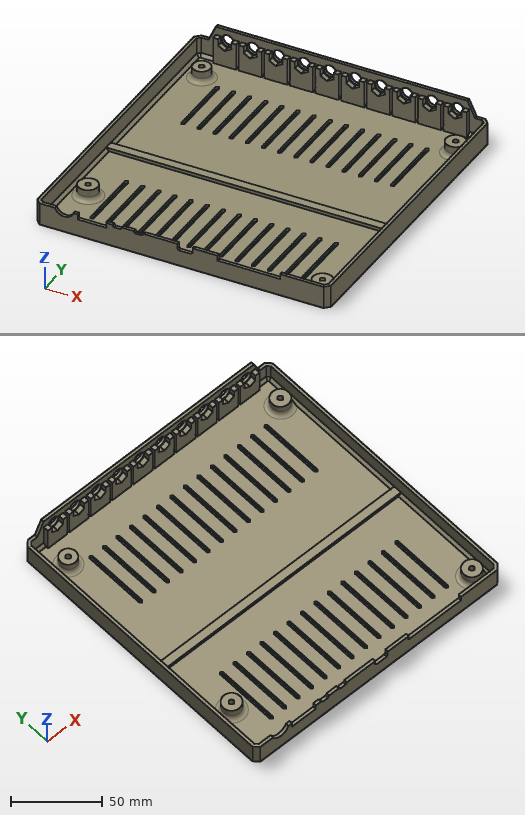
import cadquery as cq
import math

width = 182.0
depth = 188.5
wall_height = 14.0
wall = 2.0
corner_chamfer = 3.0
floor = 2.0
floor_chamfer = 1.9
inner_width = width - 2 * wall
inner_depth = depth - 2 * wall
inner_corner_chamfer = corner_chamfer - wall * (2 - math.sqrt(2))

panel_top = 24.0
panel_top_width = 156.0
panel_base_width = 165.5

block_count = 10
hole_row_length = 142.9
block_pitch = hole_row_length / (block_count - 1)
block_gap = 1.5
block_width = block_pitch - block_gap
block_top = 18.7
block_depth = 3.4
row_center_x = 0.66
hole_below_block_top = 1.8
hole_z = block_top - hole_below_block_top
hole_diameter = 7.2
nut_across_flats = 8.1

slot_count = 14
slot_row_length = 130
slot_pitch = slot_row_length / (slot_count - 1)
slot_width = 2.0
slot_length = 42.0
slot_row_x = 0.5
slot_row_ys = (48.5, -57.3)

rib_y = -12.5
rib_width = 5.5
rib_height = 2.0

posts = (
    (-77.0, 73.5, 11.0),
    (80.7, 73.5, 12.0),
    (-77.0, -58.8, 12.0),
    (80.7, -81.6, 12.0),
)
post_top = 9.2
post_fillet = 3.0
screw_hole_diameter = 3.2

round_notch_x = -72.8
round_notch_z = 16.0
round_notch_diameter = 12.0
notches = (
    (-64.5, -46.7, 10.7, 0),
    (-42.8, -37.0, 12.6, 1.0),
    (-29.6, -23.8, 12.6, 1.0),
    (-2.6, 6.8, 10.0, 1.0),
    (22.2, 61.0, 10.7, 0),
)

front_y = -depth / 2
back_y = depth / 2
panel_inner_y = back_y - wall
block_front_y = panel_inner_y - block_depth


def centered_offsets(count, pitch):
    """Positions of an evenly spaced row centred on zero."""
    return [(i - (count - 1) / 2) * pitch for i in range(count)]


def facing_front(y):
    """Workplane at the given Y whose local axes are X and Z and whose normal is -Y."""
    return cq.Workplane("XZ", origin=(0, y, 0))


def make_tray():
    outer = (
        cq.Workplane("XY")
        .rect(width, depth)
        .extrude(wall_height)
        .edges("|Z")
        .chamfer(corner_chamfer)
    )
    cavity = (
        cq.Workplane("XY", origin=(0, 0, floor))
        .rect(inner_width, inner_depth)
        .extrude(wall_height - floor)
        .edges("|Z")
        .chamfer(inner_corner_chamfer)
        .faces("<Z")
        .chamfer(floor_chamfer)
    )
    return outer.cut(cavity)


def make_panel():
    outline = [
        (-panel_base_width / 2, wall_height),
        (panel_base_width / 2, wall_height),
        (panel_top_width / 2, panel_top),
        (-panel_top_width / 2, panel_top),
    ]
    return facing_front(back_y).polyline(outline).close().extrude(wall)


def make_block(x):
    return cq.Workplane("XY").box(
        block_width, block_depth, block_top, centered=(True, False, False)
    ).translate((x, block_front_y, 0))


def make_nut_pocket(x):
    """Hexagon with a corner pointing down, through the depth of one block."""
    nut_across_corners = nut_across_flats / math.cos(math.pi / 6)
    return (
        facing_front(panel_inner_y)
        .polygon(6, nut_across_corners)
        .extrude(block_depth)
        .rotate((0, 0, 0), (0, 1, 0), 30)
        .translate((x, 0, hole_z))
    )


def make_panel_hole(x):
    return facing_front(back_y).center(x, hole_z).circle(hole_diameter / 2).extrude(wall)


def make_post(x, y, diameter):
    """Round post whose foot flares into the floor with a concave fillet, kept inside the tray."""
    radius = diameter / 2
    foot_radius = radius + post_fillet
    arc_reach = post_fillet * (1 - math.sqrt(0.5))
    profile = (
        cq.Workplane("XZ")
        .lineTo(foot_radius, 0)
        .lineTo(foot_radius, floor)
        .threePointArc((radius + arc_reach, floor + arc_reach), (radius, floor + post_fillet))
        .lineTo(radius, post_top)
        .lineTo(0, post_top)
        .close()
    )
    post = profile.revolve(360, (0, 0, 0), (0, 1, 0)).translate((x, y, 0))
    inside = cq.Workplane("XY").rect(width - wall, depth - wall).extrude(wall_height)
    return post.intersect(inside)


def make_notch(left, right, bottom, bottom_chamfer):
    notch = cq.Workplane("XY").box(
        right - left, wall, wall_height - bottom, centered=False
    ).translate((left, front_y, bottom))
    if bottom_chamfer:
        notch = notch.faces("<Z").edges("|Y").chamfer(bottom_chamfer)
    return notch


def make_slots():
    centers = [
        (slot_row_x + offset, y)
        for y in slot_row_ys
        for offset in centered_offsets(slot_count, slot_pitch)
    ]
    return cq.Workplane("XY").pushPoints(centers).slot2D(slot_length, slot_width, 90).extrude(floor)


result = make_tray().union(make_panel())

rib = cq.Workplane("XY").box(inner_width, rib_width, floor + rib_height, centered=(True, True, False))
result = result.union(rib.translate((0, rib_y, 0)))

for x, y, diameter in posts:
    result = result.union(make_post(x, y, diameter))
screw_points = [(x, y) for x, y, diameter in posts]
screw_holes = cq.Workplane("XY").pushPoints(screw_points).circle(screw_hole_diameter / 2).extrude(post_top)
result = result.cut(screw_holes)

for offset in centered_offsets(block_count, block_pitch):
    x = row_center_x + offset
    result = result.union(make_block(x))
    result = result.cut(make_nut_pocket(x)).cut(make_panel_hole(x))

for notch in notches:
    result = result.cut(make_notch(*notch))
round_notch = (
    facing_front(front_y + wall)
    .center(round_notch_x, round_notch_z)
    .circle(round_notch_diameter / 2)
    .extrude(wall)
)
result = result.cut(round_notch).cut(make_slots())